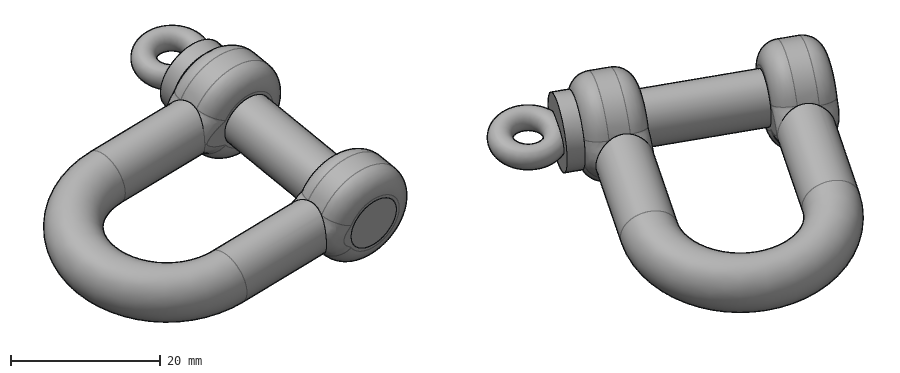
import cadquery as cq
import math

bar_diameter = 8.0
leg_gap = 17.0
leg_length = 21.53
bend_radius = (leg_gap + bar_diameter) / 2

jaw_width = 16.95
jaw_outer_width = 34.95
eye_diameter = 15.0
eye_thickness = (jaw_outer_width - jaw_width) / 2
eye_rounding = 3.0
eye_outer_x = jaw_outer_width / 2

pin_diameter = 8.0
collar_diameter = 11.0
collar_thickness = 2.5
ring_outer_radius = collar_diameter / 2
ring_bar_radius = 1.75
ring_center_radius = ring_outer_radius - ring_bar_radius
pin_overall_length = 47.0
ring_center_x = eye_outer_x - pin_overall_length + ring_outer_radius


def x_cylinder(start_x, length, diameter):
    """Cylinder along +X, centred on the pin axis."""
    return cq.Workplane("YZ", origin=(start_x, 0, 0)).circle(diameter / 2).extrude(length)


def round_eyes(bow):
    """Round the circular rims of both eyes, blending them into the legs where they meet."""
    rims = [
        edge
        for edge in bow.edges("%CIRCLE").vals()
        if math.isclose(edge.radius(), eye_diameter / 2, abs_tol=0.005)
    ]
    return bow.newObject(rims).fillet(eye_rounding)


def make_bow():
    path = (
        cq.Workplane("XY")
        .moveTo(-bend_radius, 0)
        .lineTo(-bend_radius, -leg_length)
        .threePointArc((0, -leg_length - bend_radius), (bend_radius, -leg_length))
        .lineTo(bend_radius, 0)
    )
    bow = cq.Workplane("XZ", origin=(-bend_radius, 0, 0)).circle(bar_diameter / 2).sweep(path)
    for start_x in (-eye_outer_x, jaw_width / 2):
        bow = bow.union(x_cylinder(start_x, eye_thickness, eye_diameter))
    bow = round_eyes(bow)
    return bow.cut(x_cylinder(-eye_outer_x, jaw_outer_width, pin_diameter))


def make_pin():
    shank = x_cylinder(-eye_outer_x, jaw_outer_width, pin_diameter)
    collar = x_cylinder(-eye_outer_x - collar_thickness, collar_thickness, collar_diameter)
    ring = cq.Workplane(
        cq.Solid.makeTorus(
            ring_center_radius, ring_bar_radius, cq.Vector(ring_center_x, 0, 0), cq.Vector(0, 0, 1)
        )
    )
    return shank.union(collar).union(ring)


bow = make_bow()
pin = make_pin()

result = cq.Compound.makeCompound([bow.solids().val(), pin.solids().val()])